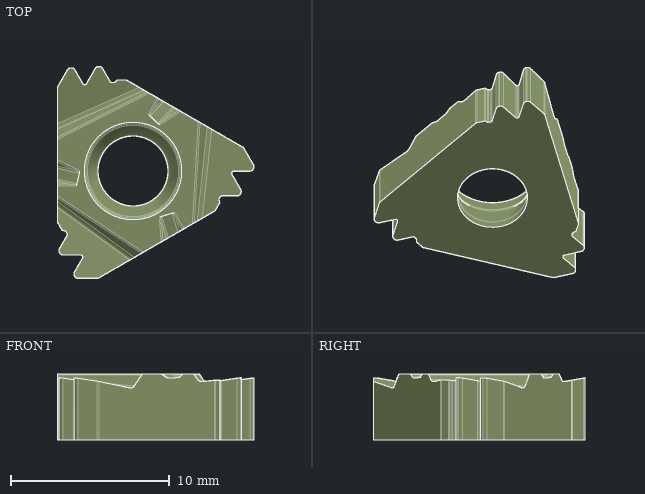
import cadquery as cq
import math

thickness = 4.17
inscribed_radius = 9.525 / 2
corner_count = 3
corner_step = 360 / corner_count

pitch = 1.75
half_thread_angle = 30
finish_tip_y = 6.586
rough_tip_y = 6.505
rough_tip_x = -3.9
finish_tip_x = rough_tip_x + pitch
tip_width = 0.33
root_y = 5.45
relief_y = 5.58
land_y = 5.74
relief_width = 0.24
tip_radius = 0.25
root_radius = 0.1
relief_radius = 0.08
shoulder_radius = 0.2

rake_angle = 10
rake_tip_depth = 0.24
rake_direction = 24.3
rake_wall_y = 2.71
rake_wall_angle = 65
rake_fillet_radius = 0.3
rake_rim_radius = 0.14
rake_rim_shortest = 3
rake_cutter_size = 20
rake_cutter_height = 4

hole_radius = 4.4 / 2
seat_mouth_radius = 3.07
seat_step_radius = 2.97
seat_step_depth = 0.96
seat_bowl_radius = 2.88
seat_bowl_depth = 1.25
seat_bottom_depth = 3.55

notch_y = -0.17
notch_direction = -13
notch_floor_angle = 10
notch_depth = 0.25
notch_length = 1.36
notch_floor_width = 0.82
notch_side_angle = 37
notch_fillet_radius = 0.22
notch_rim_radius = 0.2
notch_rim_shortest = notch_floor_width + 0.1
notch_height = 1.0
notch_overrun = 1.0

edge_tolerance = 0.001
flank_slope = math.tan(math.radians(half_thread_angle))


def turned(point, angle):
    """Rotate an XY point about the Z axis by an angle in degrees."""
    c = math.cos(math.radians(angle))
    s = math.sin(math.radians(angle))
    return (c * point[0] - s * point[1], s * point[0] + c * point[1])


def corner_points():
    """Sharp outline of one corner, each point paired with its edge radius."""
    half_tip = tip_width / 2
    rough_left = rough_tip_x - half_tip
    rough_right = rough_tip_x + half_tip
    finish_left = finish_tip_x - half_tip
    finish_right = finish_tip_x + half_tip
    flank_start_y = rough_tip_y - (rough_left + inscribed_radius) / flank_slope
    relief_left = finish_right + (finish_tip_y - relief_y) * flank_slope
    relief_right = relief_left + relief_width
    side_angle = math.radians(90 - corner_step / 2)
    land_end_x = (inscribed_radius - land_y * math.cos(side_angle)) / math.sin(side_angle)
    return [
        ((-inscribed_radius, flank_start_y), shoulder_radius),
        ((rough_left, rough_tip_y), tip_radius),
        ((rough_right, rough_tip_y), tip_radius),
        ((rough_right + (rough_tip_y - root_y) * flank_slope, root_y), root_radius),
        ((finish_left - (finish_tip_y - root_y) * flank_slope, root_y), root_radius),
        ((finish_left, finish_tip_y), tip_radius),
        ((finish_right, finish_tip_y), tip_radius),
        ((relief_left, relief_y), relief_radius),
        ((relief_right, relief_y), relief_radius),
        ((relief_right + land_y - relief_y, land_y), relief_radius),
        ((land_end_x, land_y), shoulder_radius),
    ]


def near_any(center, spots):
    """True when a vertical edge stands on one of the given XY points."""
    return any(math.dist((center.x, center.y), spot) < edge_tolerance for spot in spots)


def make_body():
    """Prism of the whole outline with its vertical edges rounded."""
    outline = []
    for i in range(corner_count):
        for point, radius in corner_points():
            outline.append((turned(point, -corner_step * i), radius))
    body = cq.Workplane("XY").polyline([point for point, radius in outline]).close().extrude(thickness)
    for radius in sorted({radius for point, radius in outline}):
        spots = [point for point, spot_radius in outline if spot_radius == radius]
        selected = body.edges("|Z").filter(lambda edge: near_any(edge.Center(), spots))
        body = selected.fillet(radius)
    return body


def rake_cutter():
    """Cutter whose flat floor rises toward the tips and ends at a sloped wall."""
    wall_run = rake_cutter_height / math.tan(math.radians(rake_wall_angle))
    half_length = rake_cutter_size / 2
    section = cq.Plane(
        origin=(0, 0, 0),
        xDir=(*turned((0, 1), rake_direction), 0),
        normal=(*turned((1, 0), rake_direction), 0),
    )
    cutter = (
        cq.Workplane(section)
        .polyline([
            (0, 0),
            (rake_cutter_size, 0),
            (rake_cutter_size, rake_cutter_height),
            (-wall_run, rake_cutter_height),
        ])
        .close()
        .extrude(half_length, both=True)
    )
    root = cq.NearestToPointSelector((0, 0, 0))
    cutter = cutter.edges(root).fillet(rake_fillet_radius)
    cutter = cutter.translate((-inscribed_radius, rake_wall_y - finish_tip_y, 0))
    cutter = cutter.rotate((0, 0, 0), (1, 0, 0), rake_angle)
    return cutter.translate((0, finish_tip_y, thickness - rake_tip_depth))


def notch_cutter():
    """Round-bottomed trapezoidal groove that runs out into the top face."""
    side_run = notch_height / math.tan(math.radians(notch_side_angle))
    half_floor = notch_floor_width / 2
    cutter = (
        cq.Workplane("YZ")
        .polyline([
            (-half_floor, 0),
            (half_floor, 0),
            (half_floor + side_run, notch_height),
            (-half_floor - side_run, notch_height),
        ])
        .close()
        .extrude(notch_length + notch_overrun)
        .edges("|X and <Z")
        .fillet(notch_fillet_radius)
        .translate((-notch_overrun, 0, 0))
    )
    cutter = cutter.rotate((0, 0, 0), (0, 1, 0), -notch_floor_angle)
    cutter = cutter.rotate((0, 0, 0), (0, 0, 1), notch_direction)
    return cutter.translate((-inscribed_radius, notch_y, thickness - notch_depth))


def hole_cutter():
    """Through hole with a near-cylindrical seat and a bowl blending into the bore."""
    bowl_drop = seat_bottom_depth - seat_bowl_depth
    bowl_step = seat_bowl_radius - hole_radius
    arc_radius = (bowl_drop**2 + bowl_step**2) / (2 * bowl_step)
    half_sweep = math.asin(bowl_drop / arc_radius) / 2
    bowl_middle = (
        hole_radius + arc_radius * (1 - math.cos(half_sweep)),
        thickness - seat_bottom_depth + arc_radius * math.sin(half_sweep),
    )
    return (
        cq.Workplane("XZ")
        .moveTo(0, 0)
        .lineTo(hole_radius, 0)
        .lineTo(hole_radius, thickness - seat_bottom_depth)
        .threePointArc(bowl_middle, (seat_bowl_radius, thickness - seat_bowl_depth))
        .lineTo(seat_step_radius, thickness - seat_step_depth)
        .lineTo(seat_mouth_radius, thickness)
        .lineTo(0, thickness)
        .close()
        .revolve(360, (0, 0, 0), (0, 1, 0))
    )


def around(cutter, target):
    """Cut the same shape at every corner of the insert."""
    for i in range(corner_count):
        target = target.cut(cutter.rotate((0, 0, 0), (0, 0, 1), corner_step * i))
    return target


def round_top_rim(target, radius, shortest):
    """Round the long enough edges of the top face that lie inside its straight sides."""
    rims = target.faces(">Z").edges().filter(
        lambda edge: math.hypot(edge.Center().x, edge.Center().y) < inscribed_radius - edge_tolerance
        and edge.Length() > shortest
    )
    return rims.fillet(radius)


result = around(notch_cutter(), make_body())
result = round_top_rim(result, notch_rim_radius, notch_rim_shortest)
result = around(rake_cutter(), result)
result = round_top_rim(result, rake_rim_radius, rake_rim_shortest)
result = result.cut(hole_cutter())